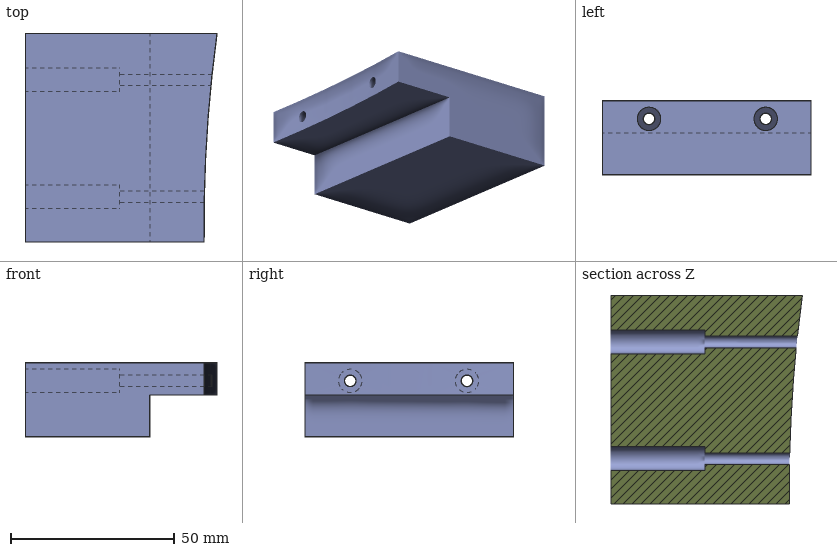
import cadquery as cq

length_x = 58.7
width_y = 63.9
height_z = 22.75

plate_thickness = 10.0
base_length = 38.15

front_length = 54.75
arc_radius = 434.5

hole_diameter = 3.45
counterbore_diameter = 7.15
counterbore_depth = 28.75
hole_spacing = 35.7
hole_drop = 5.6
hole_middle_y = 31.75


def make_base():
    return cq.Workplane("XY").box(base_length, width_y, height_z, centered=False)


def make_plate():
    return (
        cq.Workplane("XY", origin=(0, 0, height_z - plate_thickness))
        .lineTo(front_length, 0)
        .radiusArc((length_x, width_y), arc_radius)
        .lineTo(0, width_y)
        .close()
        .extrude(plate_thickness)
    )


def make_screw_hole(y):
    start = cq.Workplane("YZ").center(y, height_z - hole_drop)
    through_hole = start.circle(hole_diameter / 2).extrude(length_x)
    counterbore = start.circle(counterbore_diameter / 2).extrude(counterbore_depth)
    return through_hole.union(counterbore)


result = make_base().union(make_plate())
for side in (-1, 1):
    result = result.cut(make_screw_hole(hole_middle_y + side * hole_spacing / 2))